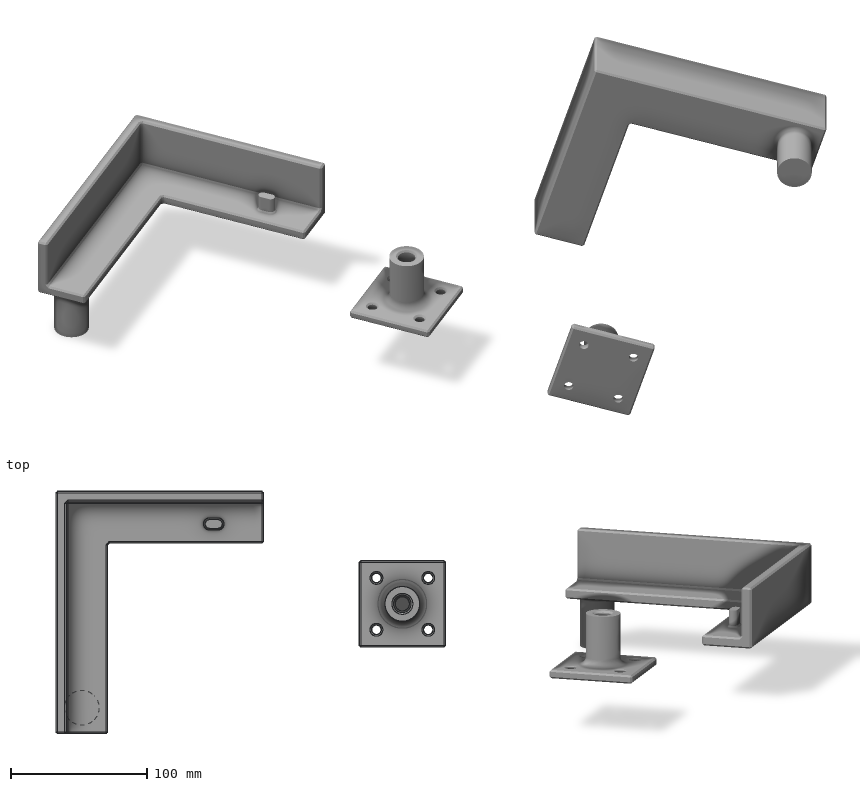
import cadquery as cq

edge_break = 1.25
chamfer_angle = 45
post_diameter = 25.5
post_length = 38.0

bracket_length_x = 152.3
bracket_length_y = 177.7
bracket_height = 45.7
bracket_thickness = 7.7
arm_width = 38.0
bracket_post_fillet = 2.55
bracket_post_center = (arm_width / 2, arm_width / 2)

peg_length = 12.5
peg_width = 6.3
peg_height = 13.0
peg_center = (115.7, bracket_length_y - 24.0)

overall_length_x = 285.8
base_side = 63.5
base_thickness = 6.3
base_post_fillet = 5.1
bore_diameter = 13.0
screw_hole_diameter = 7.0
screw_hole_spacing = 38.0
base_center = (overall_length_x - base_side / 2, 95.2)


def l_prism(inset, width, bottom, height):
    """Upright L: set in from the outer sides by inset, with arms of the given width."""
    left = inset
    back = bracket_length_y - inset
    return (
        cq.Workplane("XY", origin=(0, 0, bottom))
        .moveTo(left, 0)
        .lineTo(left, back)
        .lineTo(bracket_length_x, back)
        .lineTo(bracket_length_x, back - width)
        .lineTo(left + width, back - width)
        .lineTo(left + width, 0)
        .close()
        .extrude(height)
    )


def make_peg():
    """Round-ended peg with a chamfered flare where it meets the floor."""
    floor = cq.Workplane("XY", origin=(*peg_center, bracket_thickness))
    peg = floor.slot2D(peg_length, peg_width).extrude(peg_height)
    flare_length = peg_length + 2 * edge_break
    flare_width = peg_width + 2 * edge_break
    flare = floor.slot2D(flare_length, flare_width).extrude(edge_break, taper=chamfer_angle)
    return peg.union(flare)


def make_post(center, root_z, direction, fillet_radius):
    """Round post rising (+1) or hanging (-1) from root_z, with a concave fillet at its root."""
    radius = post_diameter / 2
    fillet_end = root_z + direction * fillet_radius
    tip = root_z + direction * post_length
    return (
        cq.Workplane("XZ", origin=(*center, 0))
        .moveTo(0, root_z)
        .lineTo(radius + fillet_radius, root_z)
        .radiusArc((radius, fillet_end), direction * fillet_radius)
        .lineTo(radius, tip)
        .lineTo(0, tip)
        .close()
        .revolve(360, (0, 0), (0, 1))
    )


def make_bracket():
    """Angle chamfered along every edge, with the peg on its floor and the post under it."""
    angle = l_prism(0, arm_width, 0, bracket_height).cut(
        l_prism(bracket_thickness, arm_width, bracket_thickness, bracket_height)
    )
    angle = angle.edges().chamfer(edge_break)
    post = make_post(bracket_post_center, 0, -1, bracket_post_fillet)
    return angle.union(make_peg()).union(post)


def mouth_cone(center, diameter, top):
    """Cone that chamfers the mouth of a hole opening upward at top."""
    return (
        cq.Workplane("XY", origin=(*center, top))
        .circle(diameter / 2 + edge_break)
        .extrude(-edge_break, taper=chamfer_angle)
    )


def cut_bore(body):
    """Blind bore from the post tip to the plate, chamfered at its mouth and its floor."""
    bore = (
        cq.Workplane("XY", origin=(*base_center, base_thickness))
        .circle(bore_diameter / 2)
        .extrude(post_length)
        .faces("<Z")
        .edges()
        .chamfer(edge_break)
    )
    return body.cut(bore).cut(mouth_cone(base_center, bore_diameter, base_thickness + post_length))


def cut_screw_holes(body):
    """Four through holes in the corners of the plate, chamfered at the top."""
    half_spacing = screw_hole_spacing / 2
    for side_x in (-1, 1):
        for side_y in (-1, 1):
            center = (base_center[0] + side_x * half_spacing, base_center[1] + side_y * half_spacing)
            underside = cq.Workplane("XY", origin=(*center, 0))
            hole = underside.circle(screw_hole_diameter / 2).extrude(base_thickness)
            body = body.cut(hole).cut(mouth_cone(center, screw_hole_diameter, base_thickness))
    return body


def make_base():
    """Chamfered square plate and its post, with the bore and the screw holes cut."""
    plate = (
        cq.Workplane("XY", origin=(*base_center, 0))
        .rect(base_side, base_side)
        .extrude(base_thickness)
        .edges()
        .chamfer(edge_break)
    )
    post = make_post(base_center, base_thickness, 1, base_post_fillet)
    body = cut_bore(plate.union(post))
    return cut_screw_holes(body)


bracket = make_bracket()
base = make_base()

result = cq.Compound.makeCompound([bracket.val(), base.val()])